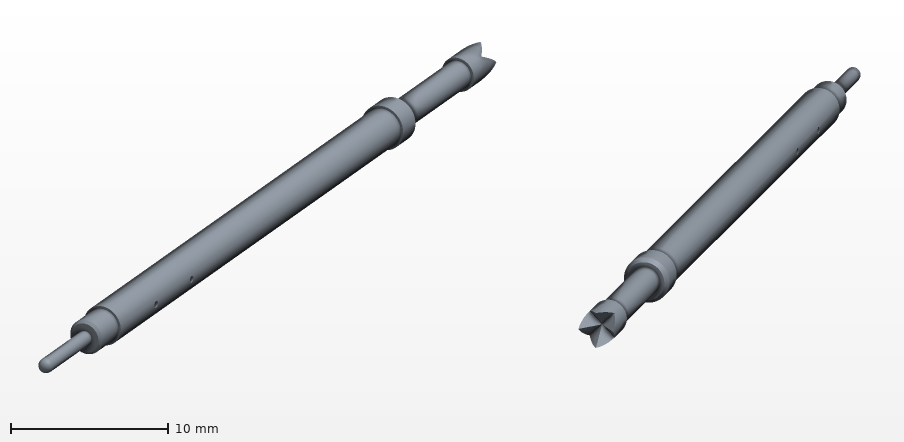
import cadquery as cq
import math

LENGTH = 57.9
CROWN_TIP = LENGTH / 2
PIN_TIP = -LENGTH / 2

CROWN_DIAMETER = 2.3
CROWN_LENGTH = 3.0
TOOTH_COUNT = 4
TOOTH_DEPTH = 1.4

PLUNGER_DIAMETER = 1.9

COLLAR_DIAMETER = 3.0
COLLAR_LENGTH = 1.95
CROWN_TIP_TO_COLLAR = 11.0
COLLAR_CHAMFER_LENGTH = 0.35
COLLAR_CHAMFER_WIDTH = 0.25

BARREL_DIAMETER = 2.65
BARREL_TO_PIN_TIP = 7.95
DIMPLE_DIAMETER = 0.45
DIMPLE_DEPTH = 0.2
DIMPLE_PITCH = 4.7
DIMPLES_PER_SIDE = 2
DIMPLE_TO_BARREL_END = 4.7

FERRULE_DIAMETER = 2.3
FERRULE_LENGTH = 2.3
FERRULE_CHAMFER = 0.2
PIN_DIAMETER = 1.0

crown_base = CROWN_TIP - CROWN_LENGTH
collar_top = CROWN_TIP - CROWN_TIP_TO_COLLAR
collar_base = collar_top - COLLAR_LENGTH
barrel_end = PIN_TIP + BARREL_TO_PIN_TIP
ferrule_end = barrel_end - FERRULE_LENGTH


def turned_body():
    """Revolve the stepped half profile of the probe, with a domed pin end."""
    crown_radius = CROWN_DIAMETER / 2
    plunger_radius = PLUNGER_DIAMETER / 2
    collar_radius = COLLAR_DIAMETER / 2
    barrel_radius = BARREL_DIAMETER / 2
    ferrule_radius = FERRULE_DIAMETER / 2
    pin_radius = PIN_DIAMETER / 2

    dome_base = PIN_TIP + pin_radius
    dome_slant = pin_radius * math.sqrt(0.5)
    return (
        cq.Workplane("XY")
        .moveTo(0, CROWN_TIP)
        .lineTo(crown_radius, CROWN_TIP)
        .lineTo(crown_radius, crown_base)
        .lineTo(plunger_radius, crown_base)
        .lineTo(plunger_radius, collar_top)
        .lineTo(collar_radius - COLLAR_CHAMFER_WIDTH, collar_top)
        .lineTo(collar_radius, collar_top - COLLAR_CHAMFER_LENGTH)
        .lineTo(collar_radius, collar_base)
        .lineTo(barrel_radius, collar_base)
        .lineTo(barrel_radius, barrel_end)
        .lineTo(ferrule_radius, barrel_end)
        .lineTo(ferrule_radius, ferrule_end + FERRULE_CHAMFER)
        .lineTo(ferrule_radius - FERRULE_CHAMFER, ferrule_end)
        .lineTo(pin_radius, ferrule_end)
        .lineTo(pin_radius, dome_base)
        .threePointArc((dome_slant, dome_base - dome_slant), (0, PIN_TIP))
        .close()
        .revolve(360, (0, 0, 0), (0, 1, 0))
    )


def crown_notches():
    """V grooves across the crown; neighbours meet on the rim and leave pointed teeth."""
    half_width = CROWN_DIAMETER / 2 * math.sin(math.pi / TOOTH_COUNT)
    tooth_angle = 360 / TOOTH_COUNT
    groove = (
        cq.Workplane("XY")
        .moveTo(-half_width, CROWN_TIP)
        .lineTo(half_width, CROWN_TIP)
        .lineTo(0, CROWN_TIP - TOOTH_DEPTH)
        .close()
        .extrude(CROWN_DIAMETER, both=True)
    )
    notches = cq.Workplane("XY")
    for index in range(TOOTH_COUNT // 2):
        angle = (index + 0.5) * tooth_angle
        notches = notches.add(groove.rotate((0, 0, 0), (0, 1, 0), angle))
    return notches.combine()


def barrel_dimples():
    """Shallow round dimples in the barrel, mirrored about the YZ plane."""
    floor_radius = BARREL_DIAMETER / 2 - DIMPLE_DEPTH
    first_dimple = barrel_end + DIMPLE_TO_BARREL_END
    centres = [(first_dimple + index * DIMPLE_PITCH, 0) for index in range(DIMPLES_PER_SIDE)]
    plus_x_side = (
        cq.Workplane("YZ", origin=(floor_radius, 0, 0))
        .pushPoints(centres)
        .circle(DIMPLE_DIAMETER / 2)
        .extrude(BARREL_DIAMETER / 2)
    )
    return plus_x_side.union(plus_x_side.mirror("YZ"))


result = turned_body().cut(crown_notches()).cut(barrel_dimples())